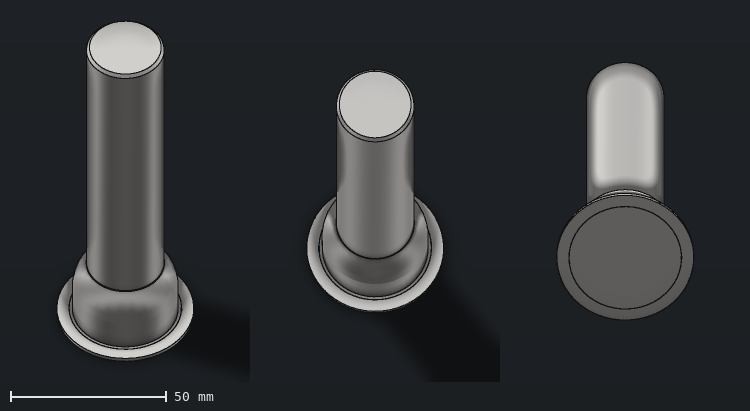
import cadquery as cq

total_height = 125.0
shaft_diameter = 25.0
shaft_chamfer = 1.0

base_diameter = 34.0
dome_start_height = 12.2
dome_top_height = 22.9
collar_diameter = 25.1
collar_height = 0.4
collar_top_height = dome_top_height + collar_height

ring_diameter = 44.0
ring_thickness = 1.5
ring_hole_diameter = 36.1
flange_diameter = 36.0
flange_thickness = ring_thickness


def make_pin():
    """Revolve the flange, base, dome, collar and chamfered shaft as one solid."""
    shaft_radius = shaft_diameter / 2
    flange_radius = flange_diameter / 2
    base_radius = base_diameter / 2
    collar_radius = collar_diameter / 2
    return (
        cq.Workplane("XZ")
        .lineTo(flange_radius, 0)
        .lineTo(flange_radius, flange_thickness)
        .lineTo(base_radius, flange_thickness)
        .lineTo(base_radius, dome_start_height)
        .tangentArcPoint((collar_radius, dome_top_height), relative=False)
        .lineTo(collar_radius, collar_top_height)
        .lineTo(shaft_radius, collar_top_height)
        .lineTo(shaft_radius, total_height - shaft_chamfer)
        .lineTo(shaft_radius - shaft_chamfer, total_height)
        .lineTo(0, total_height)
        .close()
        .revolve(360, (0, 0), (0, 1))
    )


def make_ring():
    """Flat ring that surrounds the flange with a narrow clearance."""
    return (
        cq.Workplane("XY")
        .circle(ring_diameter / 2)
        .circle(ring_hole_diameter / 2)
        .extrude(ring_thickness)
    )


pin = make_pin()
ring = make_ring()

result = cq.Compound.makeCompound([pin.val(), ring.val()])